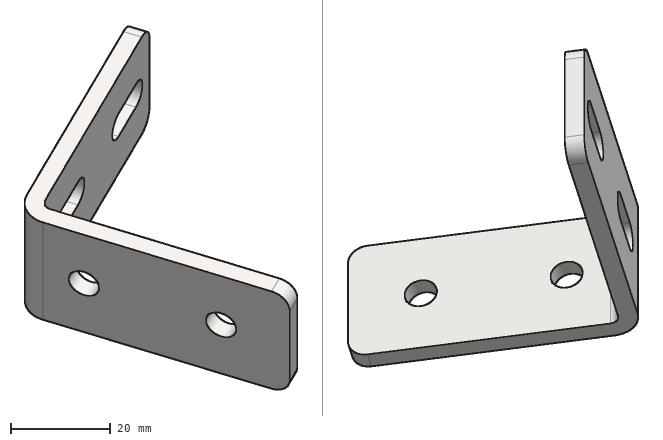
import cadquery as cq

leg_length = 60.0
height = 28.0
thickness = 4.0
bend_outer_radius = 6.0
bend_inner_radius = bend_outer_radius - thickness
corner_radius = 4.0

hole_diameter = 6.6
opening_spacing = 30.0
first_hole = 15.0
slot_length = 15.6
first_slot = 18.5
mid_height = height / 2


def bent_strip():
    """L-shaped strip with its outer bend faces on X = 0 and Y = 0."""
    outline = (
        cq.Workplane("XY")
        .moveTo(0, 0)
        .lineTo(leg_length, 0)
        .lineTo(leg_length, thickness)
        .lineTo(thickness, thickness)
        .lineTo(thickness, leg_length)
        .lineTo(0, leg_length)
        .close()
    )
    strip = outline.extrude(height)
    inner_corner = cq.selectors.NearestToPointSelector((thickness, thickness, mid_height))
    outer_corner = cq.selectors.NearestToPointSelector((0, 0, mid_height))
    strip = strip.edges(inner_corner).fillet(bend_inner_radius)
    return strip.edges(outer_corner).fillet(bend_outer_radius)


def round_leg_ends(body):
    """Round the upper and lower corners at the free end of each leg."""
    body = body.faces(">X").edges("|Y").fillet(corner_radius)
    return body.faces(">Y").edges("|X").fillet(corner_radius)


def hole_cutter():
    """Round holes through the leg along X."""
    centres = [(first_hole, mid_height), (first_hole + opening_spacing, mid_height)]
    plane = cq.Workplane("XZ").pushPoints(centres)
    return plane.circle(hole_diameter / 2).extrude(-thickness)


def slot_cutter():
    """Slots, as wide as the holes, through the leg along Y."""
    centres = [(first_slot, mid_height), (first_slot + opening_spacing, mid_height)]
    plane = cq.Workplane("YZ").pushPoints(centres)
    return plane.slot2D(slot_length, hole_diameter).extrude(thickness)


result = round_leg_ends(bent_strip()).cut(hole_cutter()).cut(slot_cutter())